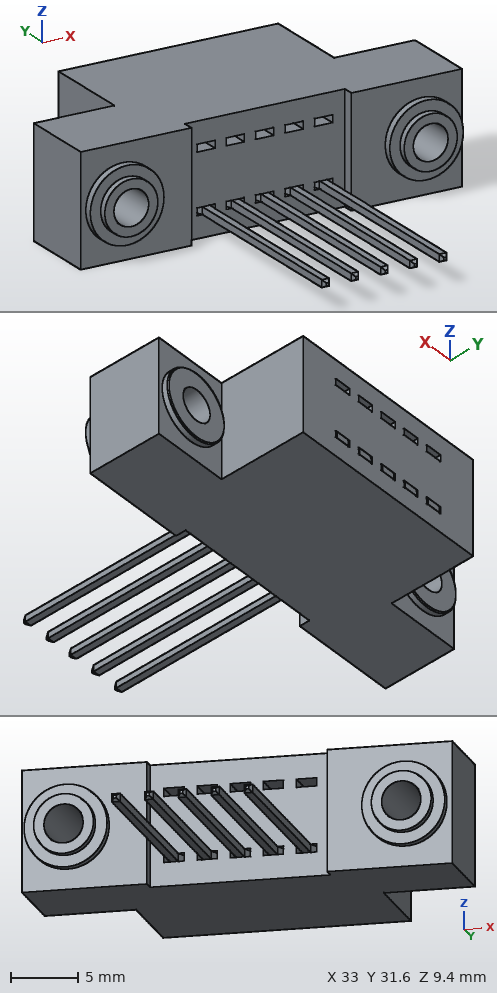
import cadquery as cq


HOUSING_LENGTH = 33.02
HOUSING_HEIGHT = 9.4
EAR_DEPTH = 6.85
NOSE_LENGTH = 19.02
HOUSING_DEPTH = 14.95
RECESS_LENGTH = 13.85
RECESS_DEPTH = 0.95

CONTACT_COUNT = 5
CONTACT_PITCH = 2.55
ROW_SPACING = 5.1
SLOT_WIDTH = 1.55
CONTACT_THICKNESS = 0.63

BLADE_WIDTH = 1.25
TAIL_WIDTH = 0.63
SHOULDER_INSET = 0.05
SHOULDER_LENGTH = 0.75
TAIL_END = 16.68
TIP_LENGTH = 0.33
TIP_WIDTH = 0.23

BUSHING_SPACING = 25.92
BORE_DIAMETER = 3.0
BARREL_DIAMETER = 3.5
BOSS_DIAMETER = 4.6
FLANGE_DIAMETER = 6.37
FRONT_GAP = 0.13
FRONT_FLANGE_THICKNESS = 0.65
BOSS_HEIGHT = 0.6
REAR_FLANGE_THICKNESS = 0.6
REAR_FLANGE_CHAMFER = 0.1

CONTACT_POSITIONS = [(i - (CONTACT_COUNT - 1) / 2) * CONTACT_PITCH for i in range(CONTACT_COUNT)]
BUSHING_POSITIONS = [-BUSHING_SPACING / 2, BUSHING_SPACING / 2]
CONTACT_ROW_Z = -ROW_SPACING / 2
SPARE_ROW_Z = ROW_SPACING / 2


def block(length, height, y_front, y_rear, x=0, z=0):
    """Box centred on (x, z) that runs from y_front to y_rear."""
    depth = y_rear - y_front
    return cq.Workplane("XY").box(length, depth, height).translate((x, y_front + depth / 2, z))


def cylinder(diameter, y_front, y_rear, x):
    """Round bar along Y, centred on the housing height."""
    plane = cq.Workplane("XZ", origin=(x, y_front, 0))
    return plane.circle(diameter / 2).extrude(y_front - y_rear)


def make_housing():
    """T-shaped moulding with a wire-side recess, two slot rows and bushing holes."""
    ears = block(HOUSING_LENGTH, HOUSING_HEIGHT, 0, EAR_DEPTH)
    nose = block(NOSE_LENGTH, HOUSING_HEIGHT, 0, HOUSING_DEPTH)
    recess = block(RECESS_LENGTH, HOUSING_HEIGHT, 0, RECESS_DEPTH)
    body = ears.union(nose).cut(recess)
    for x in CONTACT_POSITIONS:
        for z in (CONTACT_ROW_Z, SPARE_ROW_Z):
            body = body.cut(block(SLOT_WIDTH, CONTACT_THICKNESS, 0, HOUSING_DEPTH, x, z))
    for x in BUSHING_POSITIONS:
        body = body.cut(cylinder(BARREL_DIAMETER, 0, EAR_DEPTH, x))
    return body


def make_bushing(x):
    """Sleeve through one ear: rear flange on the ear, front flange just clear of it, boss in front."""
    flange_front = -FRONT_GAP - FRONT_FLANGE_THICKNESS
    boss_front = flange_front - BOSS_HEIGHT
    rear_end = EAR_DEPTH + REAR_FLANGE_THICKNESS
    barrel = cylinder(BARREL_DIAMETER, flange_front, EAR_DEPTH, x)
    boss = cylinder(BOSS_DIAMETER, boss_front, flange_front, x)
    front_flange = cylinder(FLANGE_DIAMETER, flange_front, -FRONT_GAP, x)
    rear_flange = cylinder(FLANGE_DIAMETER, EAR_DEPTH, rear_end, x)
    rear_flange = rear_flange.faces(">Y").chamfer(REAR_FLANGE_CHAMFER)
    bore = cylinder(BORE_DIAMETER, boss_front, rear_end, x)
    return barrel.union(boss).union(front_flange).union(rear_flange).cut(bore)


def make_contact(x):
    """Flat blade in the slot, narrowing over a shoulder to a square tail with a tapered tip."""
    tail_half = TAIL_WIDTH / 2
    blade_half = BLADE_WIDTH / 2
    tip_base = TIP_LENGTH - TAIL_END
    shoulder_front = RECESS_DEPTH + SHOULDER_INSET
    shoulder_rear = shoulder_front + SHOULDER_LENGTH
    strip = (
        cq.Workplane("XY", origin=(x, 0, CONTACT_ROW_Z - CONTACT_THICKNESS / 2))
        .moveTo(-tail_half, tip_base)
        .lineTo(tail_half, tip_base)
        .lineTo(tail_half, shoulder_front)
        .lineTo(blade_half, shoulder_rear)
        .lineTo(blade_half, HOUSING_DEPTH)
        .lineTo(-blade_half, HOUSING_DEPTH)
        .lineTo(-blade_half, shoulder_rear)
        .lineTo(-tail_half, shoulder_front)
        .close()
        .extrude(CONTACT_THICKNESS)
    )
    tip = (
        cq.Workplane("XZ", origin=(x, tip_base, CONTACT_ROW_Z))
        .rect(TAIL_WIDTH, CONTACT_THICKNESS)
        .workplane(offset=TIP_LENGTH)
        .rect(TIP_WIDTH, TIP_WIDTH)
        .loft()
    )
    return strip.union(tip)


housing = make_housing()
bushings = [make_bushing(x) for x in BUSHING_POSITIONS]
contacts = [make_contact(x) for x in CONTACT_POSITIONS]

result = cq.Compound.makeCompound(
    [housing.val()]
    + [bushing.val() for bushing in bushings]
    + [contact.val() for contact in contacts]
)